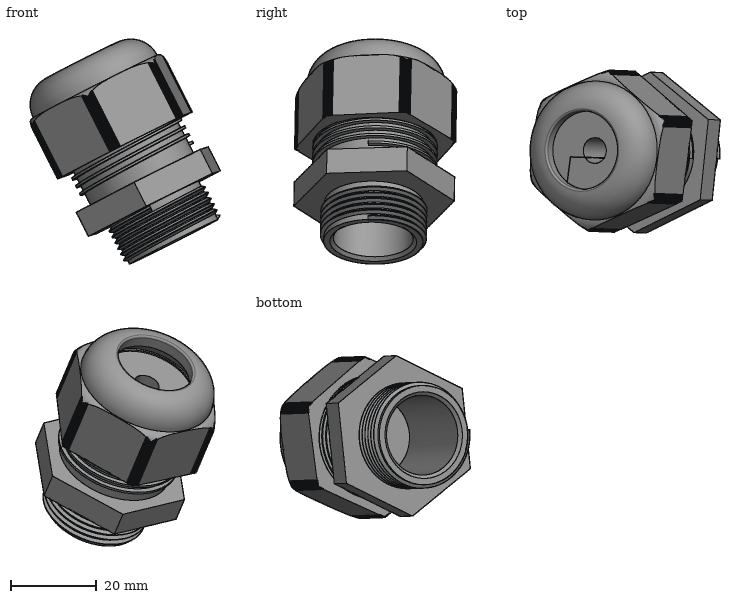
import cadquery as cq
import math


BODY_TURN = -6.0
NUT_TURN = -7.7
LEAN_TO_PLUS_Y = 1.0
LEAN_TO_MINUS_X = 26.83
POSE_SHIFT = (11.34, -0.46, -21.06)

HEX_SIDES = 6
COLLAR_CORNER_RADIUS = 18.85
NUT_CORNER_RADIUS = 19.0

ENTRY_LENGTH = 10.0
ENTRY_CORE_RADIUS = 23.2 / 2
ENTRY_CREST_RADIUS = 24.8 / 2
ENTRY_PITCH = 1.5
ENTRY_TURNS = 5.75
ENTRY_ROOT_WIDTH = 1.2
ENTRY_CREST_WIDTH = 0.15
ENTRY_THREAD_START = 0.6

COLLAR_HEIGHT = 6.3
COLLAR_TOP = ENTRY_LENGTH + COLLAR_HEIGHT

NECK_RADIUS = 27.0 / 2
CLAMP_CREST_RADIUS = 29.12 / 2
CLAMP_PITCH = 2.0
CLAMP_TURNS = 4
CLAMP_ROOT_WIDTH = 0.75
CLAMP_CREST_WIDTH = 0.55
CLAMP_THREAD_START = COLLAR_TOP + 2.4

THREAD_ROOT_SINK = 0.15

NUT_BOTTOM = 25.2
NUT_SHOULDER = 40.62
NUT_TOP = 47.5
NUT_EDGE_ROUND = 3.0
NUT_EDGE_OUTER_RADIUS = 19.1
DOME_RADIUS = 32.46 / 2
OPENING_RADIUS = 18.29 / 2
OPENING_ROUND = 0.5
OPENING_BOTTOM = 44.45
NUT_THREAD_TOP = CLAMP_THREAD_START + CLAMP_PITCH * CLAMP_TURNS + CLAMP_PITCH / 2

GROOVES_PER_SIDE = 5
GROOVE_PITCH = 0.31
GROOVE_DEPTH = 0.22
CORNER_LAND = 0.1

SLEEVE_TOP = 41.2
SLEEVE_RIM_RADIUS = 11.85
CONE_SLOPE = (OPENING_BOTTOM - SLEEVE_TOP) / (SLEEVE_RIM_RADIUS - OPENING_RADIUS)
CONE_BOTTOM = SLEEVE_TOP - CONE_SLOPE * (NECK_RADIUS - SLEEVE_RIM_RADIUS)
CABLE_BORE_RADIUS = 18.65 / 2
CABLE_BORE_CHAMFER = 0.8

SEAL_RADIUS = 22.65 / 2
SEAL_TOP = 40.8
SEAL_LENGTH = 15.0
SEAL_BOTTOM = SEAL_TOP - SEAL_LENGTH
CABLE_HOLE_RADIUS = 6.0 / 2
SLIT_WIDTH = 0.1
SLIT_CORNER = (-6.15, -2.15)
SLIT_TO_HOLE_ANGLE = 5.0
SLIT_TO_RIM_ANGLE = -92.0


def hexagon_corners(corner_radius):
    step = 2 * math.pi / HEX_SIDES
    return [
        cq.Vector(
            corner_radius * math.cos(step * (side + 0.5)),
            corner_radius * math.sin(step * (side + 0.5)),
        )
        for side in range(HEX_SIDES)
    ]


def helical_thread(core, crest, root_width, crest_width, pitch, turns, start):
    """One right-hand thread ridge of trapezoid section, its root sunk into the core."""
    root = core - THREAD_ROOT_SINK
    flank_widening = (root_width - crest_width) / (crest - core) * THREAD_ROOT_SINK
    sunk_width = root_width + flank_widening
    helix = cq.Wire.makeHelix(pitch, pitch * turns, core)
    ridge = (
        cq.Workplane("XZ")
        .moveTo(root, -sunk_width / 2)
        .lineTo(crest, -crest_width / 2)
        .lineTo(crest, crest_width / 2)
        .lineTo(root, sunk_width / 2)
        .close()
        .sweep(cq.Workplane(helix), isFrenet=True)
    )
    return ridge.translate((0, 0, start))


def make_body():
    turned = (
        cq.Workplane("XZ")
        .moveTo(CABLE_BORE_RADIUS, CABLE_BORE_CHAMFER)
        .lineTo(CABLE_BORE_RADIUS + CABLE_BORE_CHAMFER, 0)
        .lineTo(ENTRY_CORE_RADIUS, 0)
        .lineTo(ENTRY_CORE_RADIUS, COLLAR_TOP)
        .lineTo(NECK_RADIUS, COLLAR_TOP)
        .lineTo(NECK_RADIUS, CONE_BOTTOM)
        .lineTo(SLEEVE_RIM_RADIUS, SLEEVE_TOP)
        .lineTo(SEAL_RADIUS, SLEEVE_TOP)
        .lineTo(SEAL_RADIUS, SEAL_BOTTOM)
        .lineTo(CABLE_BORE_RADIUS, SEAL_BOTTOM)
        .close()
        .revolve(360, (0, 0, 0), (0, 1, 0))
    )
    collar = (
        cq.Workplane("XY", origin=(0, 0, ENTRY_LENGTH))
        .polyline([corner.toTuple()[:2] for corner in hexagon_corners(COLLAR_CORNER_RADIUS)])
        .close()
        .circle(CABLE_BORE_RADIUS)
        .extrude(COLLAR_HEIGHT)
    )
    entry_thread = helical_thread(
        ENTRY_CORE_RADIUS, ENTRY_CREST_RADIUS, ENTRY_ROOT_WIDTH, ENTRY_CREST_WIDTH,
        ENTRY_PITCH, ENTRY_TURNS, ENTRY_THREAD_START,
    )
    clamp_thread = helical_thread(
        NECK_RADIUS, CLAMP_CREST_RADIUS, CLAMP_ROOT_WIDTH, CLAMP_CREST_WIDTH,
        CLAMP_PITCH, CLAMP_TURNS, CLAMP_THREAD_START,
    )
    return turned.union(collar).union(entry_thread).union(clamp_thread)


def grooved_hexagon():
    """Outline of the cap nut: a hexagon with a row of V-grooves on both sides of each corner."""
    corners = hexagon_corners(NUT_CORNER_RADIUS)
    outline = []
    for index, corner in enumerate(corners):
        along = (corners[(index + 1) % HEX_SIDES] - corner).normalized()
        inward = cq.Vector(-along.y, along.x)
        side_length = NUT_CORNER_RADIUS

        outline.append(corner)
        groove_rows = (
            CORNER_LAND,
            side_length - CORNER_LAND - GROOVES_PER_SIDE * GROOVE_PITCH,
        )
        for row_start in groove_rows:
            outline.append(corner + along * row_start)
            for groove in range(GROOVES_PER_SIDE):
                groove_start = row_start + groove * GROOVE_PITCH
                bottom = corner + along * (groove_start + GROOVE_PITCH / 2)
                outline.append(bottom + inward * GROOVE_DEPTH)
                outline.append(corner + along * (groove_start + GROOVE_PITCH))
    return [point.toTuple()[:2] for point in outline]


def make_cap_nut():
    hexagon = (
        cq.Workplane("XY", origin=(0, 0, NUT_BOTTOM))
        .polyline(grooved_hexagon())
        .close()
        .extrude(NUT_TOP - NUT_BOTTOM)
    )

    diagonal = math.sqrt(0.5)
    edge_center = NUT_EDGE_OUTER_RADIUS - NUT_EDGE_ROUND
    edge_base = NUT_SHOULDER - NUT_EDGE_ROUND
    edge_middle = (edge_center + NUT_EDGE_ROUND * diagonal, edge_base + NUT_EDGE_ROUND * diagonal)

    dome_inner = OPENING_RADIUS + OPENING_ROUND
    dome_width = DOME_RADIUS - dome_inner
    dome_base = edge_base + math.sqrt(NUT_EDGE_ROUND**2 - (DOME_RADIUS - edge_center) ** 2)
    dome_height = NUT_TOP - dome_base
    dome_round = (dome_width**2 + dome_height**2) / (2 * dome_width)
    dome_middle = (
        DOME_RADIUS - dome_round * (1 - diagonal),
        dome_base + dome_round * diagonal,
    )
    opening_middle = (
        dome_inner - OPENING_ROUND * diagonal,
        NUT_TOP - OPENING_ROUND * (1 - diagonal),
    )
    envelope = (
        cq.Workplane("XZ")
        .moveTo(CLAMP_CREST_RADIUS, NUT_BOTTOM)
        .lineTo(NUT_EDGE_OUTER_RADIUS, NUT_BOTTOM)
        .lineTo(NUT_EDGE_OUTER_RADIUS, edge_base)
        .threePointArc(edge_middle, (DOME_RADIUS, dome_base))
        .threePointArc(dome_middle, (dome_inner, NUT_TOP))
        .threePointArc(opening_middle, (OPENING_RADIUS, NUT_TOP - OPENING_ROUND))
        .lineTo(OPENING_RADIUS, OPENING_BOTTOM)
        .lineTo(NECK_RADIUS, CONE_BOTTOM)
        .lineTo(NECK_RADIUS, NUT_THREAD_TOP)
        .lineTo(CLAMP_CREST_RADIUS, NUT_THREAD_TOP)
        .close()
        .revolve(360, (0, 0, 0), (0, 1, 0))
    )
    return hexagon.intersect(envelope)


def make_seal():
    """Seal plug with a central cable hole and a thin, bent slit from the hole to the rim."""
    seal = (
        cq.Workplane("XY", origin=(0, 0, SEAL_BOTTOM))
        .circle(SEAL_RADIUS)
        .circle(CABLE_HOLE_RADIUS)
        .extrude(SEAL_LENGTH)
    )
    corner_x, corner_y = SLIT_CORNER
    slit_legs = (
        (SLIT_TO_HOLE_ANGLE, -corner_x),
        (SLIT_TO_RIM_ANGLE, SEAL_RADIUS),
    )
    for angle, length in slit_legs:
        leg = (
            cq.Workplane("XY")
            .rect(length, SLIT_WIDTH)
            .extrude(SEAL_LENGTH)
            .translate((length / 2, 0, SEAL_BOTTOM))
            .rotate((0, 0, 0), (0, 0, 1), angle)
            .translate((corner_x, corner_y, 0))
        )
        seal = seal.cut(leg)
    return seal


def pose(part, turn):
    return (
        part.rotate((0, 0, 0), (0, 0, 1), turn)
        .rotate((0, 0, 0), (1, 0, 0), -LEAN_TO_PLUS_Y)
        .rotate((0, 0, 0), (0, 1, 0), -LEAN_TO_MINUS_X)
        .translate(POSE_SHIFT)
        .solids()
    )


body = pose(make_body(), BODY_TURN)
cap_nut = pose(make_cap_nut(), NUT_TURN)
seal = pose(make_seal(), BODY_TURN)

result = cq.Compound.makeCompound([body.val(), cap_nut.val(), seal.val()])